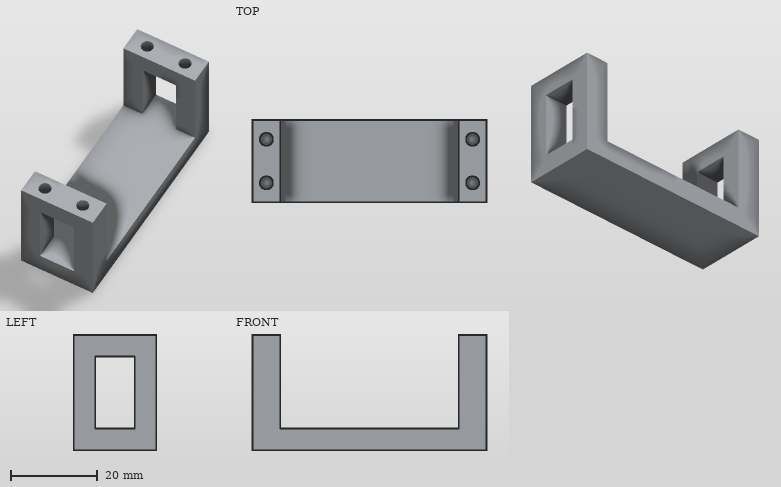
import cadquery as cq

length = 53.8
width = 19.0
height = 26.5

post_thickness = 6.4
base_thickness = 5.0
window_border = 5.0

hole_diameter = 3.0
hole_spacing = 10.0
hole_depth = 4.3


def make_bracket():
    """U-shaped body: a floor with an upright post at each end."""
    block = cq.Workplane("XY").box(length, width, height, centered=(True, True, False))
    gap = (
        cq.Workplane("XY")
        .workplane(offset=base_thickness)
        .rect(length - 2 * post_thickness, width)
        .extrude(height - base_thickness)
    )
    return block.cut(gap)


def make_windows():
    """Rectangular opening along X that pierces both posts, level with the floor."""
    window_width = width - 2 * window_border
    window_height = height - base_thickness - window_border
    return (
        cq.Workplane("XY")
        .workplane(offset=base_thickness)
        .rect(length, window_width)
        .extrude(window_height)
    )


def make_post_holes():
    """Two blind holes in each post, centred on its thickness."""
    return (
        cq.Workplane("XY")
        .workplane(offset=height)
        .rarray(length - post_thickness, hole_spacing, 2, 2)
        .circle(hole_diameter / 2)
        .extrude(-hole_depth)
    )


result = make_bracket().cut(make_windows()).cut(make_post_holes())